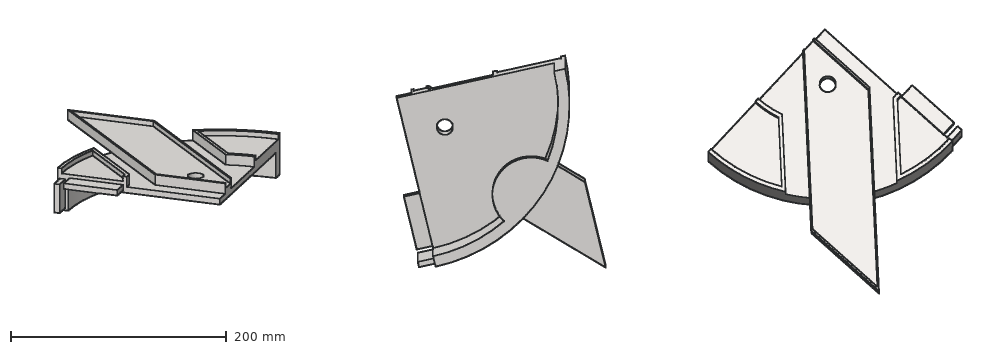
import cadquery as cq

outer_radius = 160.4
wall_thickness = 10.5
cavity_radius = outer_radius - wall_thickness
total_height = 41.0
cavity_height = 25.0
plate_top = 31.0
recess_floor = 36.0

rim_width = 4.0
rim_radius = outer_radius - rim_width
lower_offset = -85.1
lower_offset_inner = -90.7
lower_end_x = -92.0
upper_offset = 61.2
upper_offset_inner = 66.0
upper_inner_radius = 91.7

blade_length_x = 206.1
blade_top_y = 151.0
blade_top_width = 85.3
blade_bottom_y = 14.2
blade_rim = 2.0
pivot_x = -37.7
pivot_y = 37.3
pivot_diameter = 15.0

tab_length = 15.3
tab_root = 4.1
upright_tab_x = (-158.0, -152.7)
upright_tab_z = (2.5, plate_top)
flat_tab_x = (-148.5, -95.6)
flat_tab_z = (27.0, 32.5)

foot_x = -112.1
foot_y = 102.2
foot_radius = 36.0
foot_height = 4.7


def quarter(radius, bottom, top):
    """Quarter cylinder in the -X / +Y quadrant."""
    disc = cq.Workplane("XY").workplane(offset=bottom).circle(radius).extrude(top - bottom)
    return disc.intersect(cq.Workplane("XY").box(2 * radius, 2 * radius, top, centered=False)
                          .translate((-2 * radius, 0, 0)))


def prism(points, bottom, top):
    return cq.Workplane("XY").workplane(offset=bottom).polyline(points).close().extrude(top - bottom)


def lower_sector(radius, offset, end_x, bottom, top):
    """Sector bounded by the arc, a diagonal, a short end edge and y = 0."""
    far_y = offset + blade_length_x
    outline = [(-blade_length_x, 0), (end_x, 0), (end_x, offset - end_x), (-blade_length_x, far_y)]
    return quarter(radius, bottom, top).intersect(prism(outline, bottom, top))


def upper_sector(radius, inner_radius, offset, bottom, top):
    """Sector bounded by two arcs, a diagonal and x = 0."""
    outline = [(0, offset), (0, blade_length_x), (offset - blade_length_x, blade_length_x)]
    ring = quarter(radius, bottom, top).cut(quarter(inner_radius, bottom, top))
    return ring.intersect(prism(outline, bottom, top))


def blade_prism(inset, bottom, top):
    """Blade outline; every edge except the one on x = 0 moves inward by the inset along Y."""
    left_sum = blade_top_y - blade_length_x + inset
    right_sum = blade_top_y - blade_length_x + blade_top_width - inset
    top_y = blade_top_y - inset
    bottom_y = blade_bottom_y + inset
    outline = [
        (left_sum - top_y, top_y),
        (right_sum - top_y, top_y),
        (0, right_sum),
        (0, bottom_y),
        (left_sum - bottom_y, bottom_y),
    ]
    return prism(outline, bottom, top)


def tab(x_range, z_range):
    width = x_range[1] - x_range[0]
    height = z_range[1] - z_range[0]
    block = cq.Workplane("XY").box(width, tab_length + tab_root, height, centered=False)
    return block.translate((x_range[0], -tab_length, z_range[0]))


body = quarter(outer_radius, 0, plate_top).cut(quarter(cavity_radius, 0, cavity_height))
foot = cq.Workplane("XY").center(foot_x, foot_y).circle(foot_radius).extrude(foot_height)
body = body.union(foot.intersect(quarter(outer_radius, 0, foot_height)))

body = body.union(lower_sector(outer_radius, lower_offset, lower_end_x, cavity_height, total_height))
body = body.cut(lower_sector(rim_radius, lower_offset_inner, lower_end_x - rim_width,
                             recess_floor, total_height))
body = body.union(upper_sector(outer_radius, upper_inner_radius, upper_offset,
                               cavity_height, total_height))
body = body.cut(upper_sector(rim_radius, upper_inner_radius + rim_width, upper_offset_inner,
                             recess_floor, total_height))

body = body.union(blade_prism(0, plate_top, total_height))
body = body.cut(blade_prism(blade_rim, recess_floor, total_height))
body = body.cut(cq.Workplane("XY").center(pivot_x, pivot_y).circle(pivot_diameter / 2)
                .extrude(total_height))

body = body.union(tab(upright_tab_x, upright_tab_z))
body = body.union(tab(flat_tab_x, flat_tab_z))

result = body